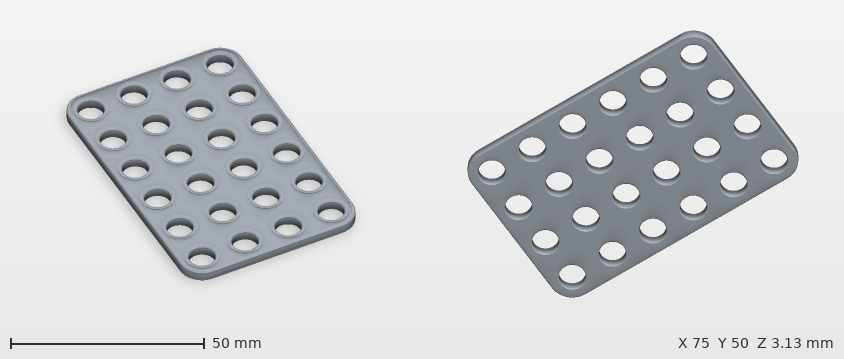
import cadquery as cq

columns = 6
rows = 4
length = 75.0
pitch = length / columns
width = rows * pitch
thickness = pitch / 4
corner_radius = pitch / 2

edge_chamfer = 0.3

hole_diameter = 7.0
collar_diameter = 9.2

border_width = 0.8
field_depth = 0.2


def rounded_slab(inset, height):
    """Rounded rectangle, set in from the plate outline, standing on Z = 0."""
    slab = cq.Workplane("XY").box(
        length - 2 * inset, width - 2 * inset, height, centered=(True, True, False)
    )
    return slab.edges("|Z").fillet(corner_radius - inset)


def grid_of_cylinders(diameter, height):
    """One cylinder at every hole position, standing on Z = 0."""
    return (
        cq.Workplane("XY")
        .rarray(pitch, pitch, columns, rows)
        .circle(diameter / 2)
        .extrude(height)
    )


def make_plate():
    plate = rounded_slab(0, thickness).cut(grid_of_cylinders(hole_diameter, thickness))
    return plate.faces("<Z or >Z").chamfer(edge_chamfer)


def make_field():
    """Material sunk from the top face between the border and the collars."""
    field = rounded_slab(border_width, field_depth).cut(grid_of_cylinders(collar_diameter, field_depth))
    return field.translate((0, 0, thickness - field_depth))


result = make_plate().cut(make_field())